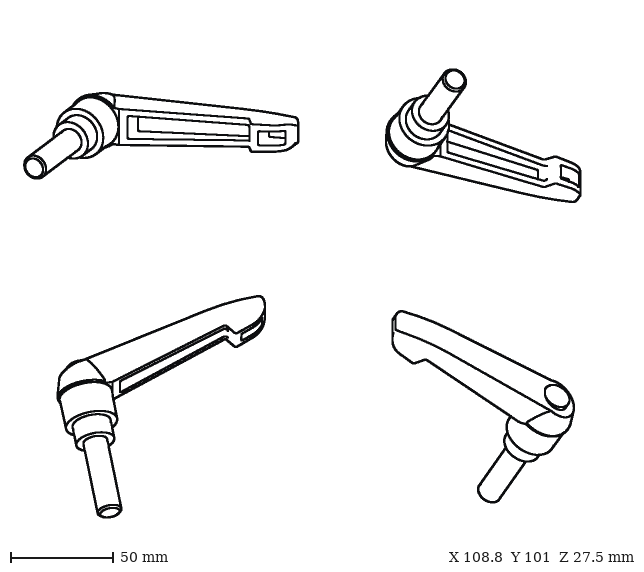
import cadquery as cq
import math


PIN_DIAMETER = 12.0
PIN_END_Y = -65.9
PIN_CHAMFER = 1.1
BUSHING_DIAMETER = 19.0
BUSHING_END_Y = -26.1
HUB_END_Y = -16.0
HUB_TOP_RADIUS = 13.0
HUB_END_RADIUS = 12.8

HEAD_DIAMETER = 27.5
HEAD_RADIUS = HEAD_DIAMETER / 2
BAND_LOW_RADIUS = 13.4
BAND_LOW_Y = 1.0
BAND_TOP_Y = 2.1
CONE_TOP_RADIUS = 9.1
CONE_TOP_Y = 18.5

SCREW_RADIUS = 6.7
SCREW_EDGE_Y = 15.4
SCREW_TOP_Y = 17.2
SCREW_FLAT_RADIUS = 3.5
SCREW_DOME_MIDDLE = (5.5, 16.5)

ARM_TOP_SLOPE = math.tan(math.radians(15))
ARM_TOP_Y_AT_AXIS = 13.8
OVERALL_LENGTH = 108.8
ARM_END_X = OVERALL_LENGTH - HEAD_RADIUS
ARM_HALF_WIDTH_AT_AXIS = 10.0
ARM_HALF_WIDTH_AT_END = 6.7
ARM_END_ROUND = 3.0
ARM_CREST_Y = 35.1
ARM_BEND_X = 65.2
ARM_CREST_X = 92.0
NOSE_MIDDLE = (94.6, 33.8)
NOSE_END = (ARM_END_X, 31.2)
BELLY_MIDDLE = (91.9, 23.9)
BELLY_END = (85.4, 19.5)
UNDERSIDE_START_X = 13.4
NOTCH_TOP = (73.5, 22.0)
NOTCH_TIP = (77.6, 16.3)
NOTCH_ROUND = 1.1

POCKET_FLOOR_Y_AT_AXIS = 8.0
POCKET_CORNER_RADIUS = 0.8
GRIP_POCKET_START_X = 17.4
GRIP_POCKET_END_X = 72.1
GRIP_POCKET_START_HALF_WIDTH = 6.1
GRIP_POCKET_END_HALF_WIDTH = 4.1
TIP_POCKET_START_X = 80.7
TIP_POCKET_END_X = 89.5
TIP_POCKET_HALF_WIDTH = 3.7
POCKET_LEAN = math.atan2(NOTCH_TOP[1], NOTCH_TOP[0] - UNDERSIDE_START_X)

OVERSIZE = 65.2


def arm_top_y(x):
    """Height of the straight sloping top of the lever."""
    return ARM_TOP_Y_AT_AXIS + ARM_TOP_SLOPE * x


def pocket_floor_y(x):
    """Height of the pocket floors, parallel to the sloping top."""
    return POCKET_FLOOR_Y_AT_AXIS + ARM_TOP_SLOPE * x


def extrude_plan(points):
    """Closed XZ outline swept along the full height of the lever."""
    return cq.Workplane("XZ").polyline(points).close().extrude(OVERSIZE, both=True)


def make_stem():
    """Pin, bushing and hub as one turned body."""
    pin_radius = PIN_DIAMETER / 2
    bushing_radius = BUSHING_DIAMETER / 2
    return (
        cq.Workplane("XY")
        .moveTo(0, PIN_END_Y)
        .lineTo(pin_radius - PIN_CHAMFER, PIN_END_Y)
        .lineTo(pin_radius, PIN_END_Y + PIN_CHAMFER)
        .lineTo(pin_radius, BUSHING_END_Y)
        .lineTo(bushing_radius, BUSHING_END_Y)
        .lineTo(bushing_radius, HUB_END_Y)
        .lineTo(HUB_END_RADIUS, HUB_END_Y)
        .lineTo(HUB_TOP_RADIUS, 0)
        .lineTo(0, 0)
        .close()
        .revolve(360, (0, 0), (0, 1))
    )


def make_head():
    """Turned cone cut off by the sloping top of the lever."""
    cone = (
        cq.Workplane("XY")
        .lineTo(BAND_LOW_RADIUS, 0)
        .lineTo(HEAD_RADIUS, BAND_LOW_Y)
        .lineTo(HEAD_RADIUS, BAND_TOP_Y)
        .lineTo(CONE_TOP_RADIUS, CONE_TOP_Y)
        .lineTo(0, CONE_TOP_Y)
        .close()
        .revolve(360, (0, 0), (0, 1))
    )
    above_slope = (
        cq.Workplane("XY")
        .polyline([
            (-OVERSIZE, arm_top_y(-OVERSIZE)),
            (OVERSIZE, arm_top_y(OVERSIZE)),
            (-OVERSIZE, arm_top_y(OVERSIZE)),
        ])
        .close()
        .extrude(OVERSIZE, both=True)
    )
    return cone.cut(above_slope)


def make_screw():
    """Domed screw head standing through the sloping top."""
    return (
        cq.Workplane("XY")
        .lineTo(SCREW_RADIUS, 0)
        .lineTo(SCREW_RADIUS, SCREW_EDGE_Y)
        .threePointArc(SCREW_DOME_MIDDLE, (SCREW_FLAT_RADIUS, SCREW_TOP_Y))
        .lineTo(0, SCREW_TOP_Y)
        .close()
        .revolve(360, (0, 0), (0, 1))
    )


def make_arm():
    """Side outline of the lever trimmed to its tapering, round-ended plan."""
    side = (
        cq.Workplane("XY")
        .lineTo(0, ARM_TOP_Y_AT_AXIS)
        .lineTo(ARM_BEND_X, arm_top_y(ARM_BEND_X))
        .tangentArcPoint((ARM_CREST_X, ARM_CREST_Y), relative=False)
        .threePointArc(NOSE_MIDDLE, NOSE_END)
        .threePointArc(BELLY_MIDDLE, BELLY_END)
        .lineTo(*NOTCH_TIP)
        .lineTo(*NOTCH_TOP)
        .lineTo(UNDERSIDE_START_X, 0)
        .close()
        .extrude(OVERSIZE, both=True)
    )
    for corner in (NOTCH_TOP, NOTCH_TIP):
        near_corner = cq.selectors.BoxSelector(
            (corner[0] - NOTCH_ROUND, corner[1] - NOTCH_ROUND, -NOTCH_ROUND),
            (corner[0] + NOTCH_ROUND, corner[1] + NOTCH_ROUND, NOTCH_ROUND),
        )
        side = side.edges(near_corner).fillet(NOTCH_ROUND)
    plan = extrude_plan([
        (0, -ARM_HALF_WIDTH_AT_AXIS),
        (ARM_END_X, -ARM_HALF_WIDTH_AT_END),
        (ARM_END_X, ARM_HALF_WIDTH_AT_END),
        (0, ARM_HALF_WIDTH_AT_AXIS),
    ])
    plan = plan.edges("|Y and >X").fillet(ARM_END_ROUND)
    return side.intersect(plan)


def make_pocket(start_x, end_x, start_half_width, end_half_width):
    """Tapering pocket below the floor line, with an end wall that leans outward."""
    depth = OVERSIZE / 2
    end_low_x = end_x + depth * math.tan(POCKET_LEAN)
    taper = (start_half_width - end_half_width) / (end_x - start_x)
    end_low_half_width = start_half_width - taper * (end_low_x - start_x)
    side = (
        cq.Workplane("XY")
        .polyline([
            (start_x, pocket_floor_y(start_x)),
            (end_x, pocket_floor_y(end_x)),
            (end_low_x, pocket_floor_y(end_x) - depth),
            (start_x, pocket_floor_y(end_x) - depth),
        ])
        .close()
        .extrude(OVERSIZE, both=True)
    )
    plan = extrude_plan([
        (start_x, -start_half_width),
        (end_low_x, -end_low_half_width),
        (end_low_x, end_low_half_width),
        (start_x, start_half_width),
    ])
    pocket = side.intersect(plan)
    end_walls = pocket.faces("<X").add(pocket.faces(cq.selectors.DirectionMinMaxSelector(
        cq.Vector(math.cos(POCKET_LEAN), math.sin(POCKET_LEAN), 0), True)))
    return pocket.newObject(end_walls.vals()).edges("not |Z").fillet(POCKET_CORNER_RADIUS)


grip_pocket = make_pocket(
    GRIP_POCKET_START_X, GRIP_POCKET_END_X, GRIP_POCKET_START_HALF_WIDTH, GRIP_POCKET_END_HALF_WIDTH)
tip_pocket = make_pocket(
    TIP_POCKET_START_X, TIP_POCKET_END_X, TIP_POCKET_HALF_WIDTH, TIP_POCKET_HALF_WIDTH)

arm = make_arm().cut(grip_pocket).cut(tip_pocket)
result = make_stem().union(make_head()).union(arm).union(make_screw())